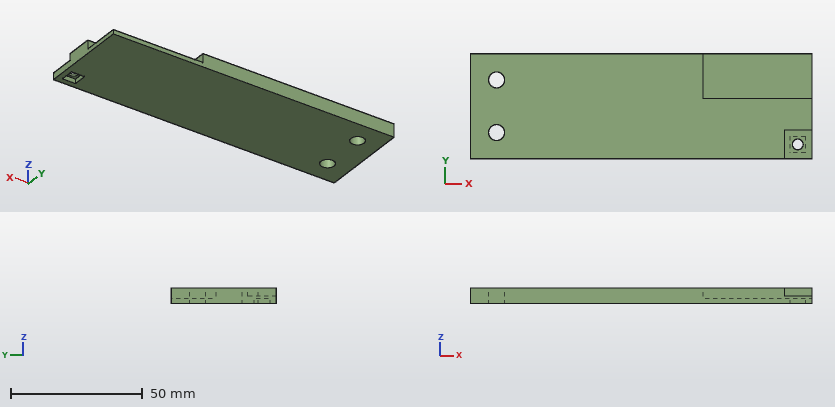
import cadquery as cq

length = 130.0
width = 40.0
thickness = 6.0

mount_hole_diameter = 6.0
mount_hole_inset = 10.0

back_step_length = 41.5
back_step_width = 17.0
back_step_depth = 4.0

front_step_length = 10.5
front_step_width = 11.0
front_step_depth = 3.0
pin_hole_diameter = 4.0
pin_hole_inset = 5.5

nut_pocket_side = 6.0
nut_pocket_depth = 2.0


def block(x, y, z, size_x, size_y, size_z):
    """Box with its minimum corner at (x, y, z)."""
    return cq.Workplane("XY").box(size_x, size_y, size_z, centered=False).translate((x, y, z))


def through_holes(centres, diameter):
    """Vertical cylinders that pass through the full plate thickness."""
    return cq.Workplane("XY").pushPoints(centres).circle(diameter / 2).extrude(thickness)


plate = block(0, 0, 0, length, width, thickness)

back_step = block(
    length - back_step_length,
    width - back_step_width,
    thickness - back_step_depth,
    back_step_length,
    back_step_width,
    back_step_depth,
)

front_step = block(
    length - front_step_length,
    0,
    thickness - front_step_depth,
    front_step_length,
    front_step_width,
    front_step_depth,
)

mount_hole_centres = [
    (mount_hole_inset, mount_hole_inset),
    (mount_hole_inset, width - mount_hole_inset),
]
mount_holes = through_holes(mount_hole_centres, mount_hole_diameter)

pin_hole_x = length - pin_hole_inset
pin_hole_y = pin_hole_inset
pin_hole = through_holes([(pin_hole_x, pin_hole_y)], pin_hole_diameter)

nut_pocket = block(
    pin_hole_x - nut_pocket_side / 2,
    pin_hole_y - nut_pocket_side / 2,
    0,
    nut_pocket_side,
    nut_pocket_side,
    nut_pocket_depth,
)

result = plate.cut(back_step).cut(front_step).cut(mount_holes).cut(pin_hole).cut(nut_pocket)